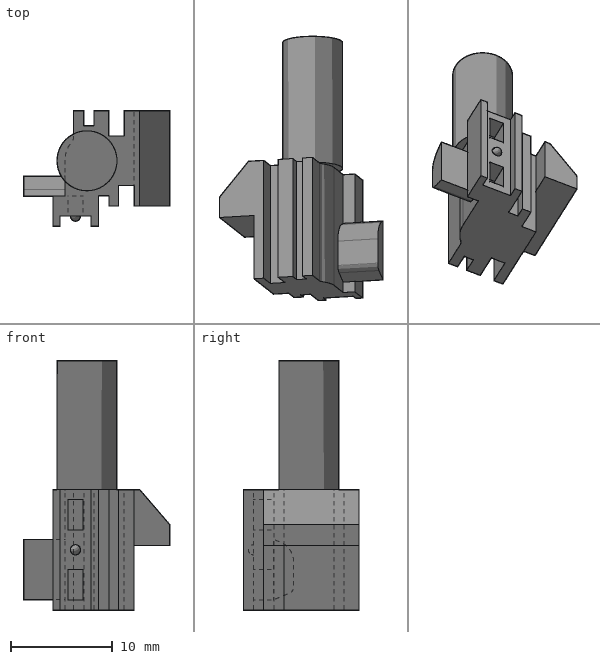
import cadquery as cq
import math

TOTAL_WIDTH = 14.41
TOTAL_DEPTH = 11.39
TOTAL_HEIGHT = 24.59

BODY_HEIGHT = 11.89
BACK_Y = 4.94
BODY_RIGHT_X = 4.65

PIN_DIAMETER = 5.91

BACK_LEFT_X = -1.33
NARROW_SLOT_X = (-0.31, 0.68)
NARROW_SLOT_FLOOR_Y = 3.46
WIDE_SLOT_X = (2.17, 3.65)
WIDE_SLOT_FLOOR_Y = 2.46

FLANK_X = -2.17
BULGE_RADIUS = PIN_DIAMETER / 2
FLANK_FILLET_RADIUS = 0.5

FOOT_X = (-3.36, 1.16)
FOOT_BACK_Y = -3.46
FOOT_FRONT_Y = BACK_Y - TOTAL_DEPTH
CHANNEL_X = (-2.65, 0.38)
CHANNEL_FLOOR_Y = -5.46

RIB_X = (2.17, 3.11)
RIB_FRONT_Y = -4.47
FRONT_GROOVE_FLOOR_Y = -2.44

HOOK_TIP_X = 8.17
HOOK_SLOPE_START_X = 5.2
HOOK_BOTTOM_Z = 6.38
HOOK_TIP_TOP_Z = 8.43

TAB_LEFT_X = HOOK_TIP_X - TOTAL_WIDTH
TAB_FRONT_Y = -3.5
TAB_BACK_Y = -1.5
TAB_Z = (1.03, 6.99)
TAB_TAPER_ANGLE = 22
TAB_UPPER_RADIUS = 2.1
TAB_LOWER_RADIUS = 0.7

POCKET_WIDTH = 1.5
POCKET_HEIGHT = 3.0
POCKET_DEPTH = 2.0
POCKET_BOTTOMS_Z = (1.02, 7.9)
CHANNEL_CENTER_X = sum(CHANNEL_X) / 2
DOME_RADIUS = 0.5
DOME_Z = 5.96


def make_body():
    bulge_center_x = FLANK_X + BULGE_RADIUS
    fillet_center_x = BACK_LEFT_X - FLANK_FILLET_RADIUS
    center_distance = BULGE_RADIUS + FLANK_FILLET_RADIUS
    blend_angle = math.acos((bulge_center_x - fillet_center_x) / center_distance)
    fillet_center_y = center_distance * math.sin(blend_angle)

    def on_bulge(angle):
        return (bulge_center_x - BULGE_RADIUS * math.cos(angle), BULGE_RADIUS * math.sin(angle))

    def on_fillet(angle):
        return (
            fillet_center_x + FLANK_FILLET_RADIUS * math.cos(angle),
            fillet_center_y - FLANK_FILLET_RADIUS * math.sin(angle),
        )

    return (
        cq.Workplane("XY")
        .moveTo(FLANK_X, 0)
        .threePointArc(on_bulge(blend_angle / 2), on_bulge(blend_angle))
        .threePointArc(on_fillet(blend_angle / 2), on_fillet(0))
        .lineTo(BACK_LEFT_X, BACK_Y)
        .lineTo(NARROW_SLOT_X[0], BACK_Y)
        .lineTo(NARROW_SLOT_X[0], NARROW_SLOT_FLOOR_Y)
        .lineTo(NARROW_SLOT_X[1], NARROW_SLOT_FLOOR_Y)
        .lineTo(NARROW_SLOT_X[1], BACK_Y)
        .lineTo(WIDE_SLOT_X[0], BACK_Y)
        .lineTo(WIDE_SLOT_X[0], WIDE_SLOT_FLOOR_Y)
        .lineTo(WIDE_SLOT_X[1], WIDE_SLOT_FLOOR_Y)
        .lineTo(WIDE_SLOT_X[1], BACK_Y)
        .lineTo(BODY_RIGHT_X, BACK_Y)
        .lineTo(BODY_RIGHT_X, FRONT_GROOVE_FLOOR_Y)
        .lineTo(RIB_X[1], FRONT_GROOVE_FLOOR_Y)
        .lineTo(RIB_X[1], RIB_FRONT_Y)
        .lineTo(RIB_X[0], RIB_FRONT_Y)
        .lineTo(RIB_X[0], FOOT_BACK_Y)
        .lineTo(FOOT_X[1], FOOT_BACK_Y)
        .lineTo(FOOT_X[1], FOOT_FRONT_Y)
        .lineTo(CHANNEL_X[1], FOOT_FRONT_Y)
        .lineTo(CHANNEL_X[1], CHANNEL_FLOOR_Y)
        .lineTo(CHANNEL_X[0], CHANNEL_FLOOR_Y)
        .lineTo(CHANNEL_X[0], FOOT_FRONT_Y)
        .lineTo(FOOT_X[0], FOOT_FRONT_Y)
        .lineTo(FOOT_X[0], FOOT_BACK_Y)
        .lineTo(FLANK_X, FOOT_BACK_Y)
        .close()
        .extrude(BODY_HEIGHT)
    )


def make_pin():
    return (
        cq.Workplane("XY", origin=(0, 0, BODY_HEIGHT))
        .circle(PIN_DIAMETER / 2)
        .extrude(TOTAL_HEIGHT - BODY_HEIGHT)
    )


def make_hook():
    outline = [
        (BODY_RIGHT_X, HOOK_BOTTOM_Z),
        (HOOK_TIP_X, HOOK_BOTTOM_Z),
        (HOOK_TIP_X, HOOK_TIP_TOP_Z),
        (HOOK_SLOPE_START_X, BODY_HEIGHT),
        (BODY_RIGHT_X, BODY_HEIGHT),
    ]
    return (
        cq.Workplane("XZ", origin=(0, BACK_Y, 0))
        .polyline(outline)
        .close()
        .extrude(BACK_Y - RIB_FRONT_Y)
    )


def make_tab():
    taper_rise = (TAB_BACK_Y - TAB_FRONT_Y) * math.tan(math.radians(TAB_TAPER_ANGLE))
    outline = [
        (TAB_FRONT_Y, TAB_Z[0]),
        (TAB_BACK_Y, TAB_Z[0] + taper_rise),
        (TAB_BACK_Y, TAB_Z[1] - taper_rise),
        (TAB_FRONT_Y, TAB_Z[1]),
    ]
    tab = (
        cq.Workplane("YZ", origin=(TAB_LEFT_X, 0, 0))
        .polyline(outline)
        .close()
        .extrude(FLANK_X - TAB_LEFT_X)
    )
    tab = tab.faces(">Y").edges("|X").edges(">Z").fillet(TAB_UPPER_RADIUS)
    return tab.faces(">Y").edges("|X").edges("<Z").fillet(TAB_LOWER_RADIUS)


def make_pocket(bottom_z):
    return (
        cq.Workplane("XY", origin=(CHANNEL_CENTER_X, CHANNEL_FLOOR_Y, bottom_z))
        .box(POCKET_WIDTH, POCKET_DEPTH, POCKET_HEIGHT, centered=(True, False, False))
    )


def make_dome():
    return cq.Workplane("XY", origin=(CHANNEL_CENTER_X, CHANNEL_FLOOR_Y, DOME_Z)).sphere(DOME_RADIUS)


result = make_body().union(make_pin()).union(make_hook()).union(make_tab())
for pocket_bottom_z in POCKET_BOTTOMS_Z:
    result = result.cut(make_pocket(pocket_bottom_z))
result = result.union(make_dome())